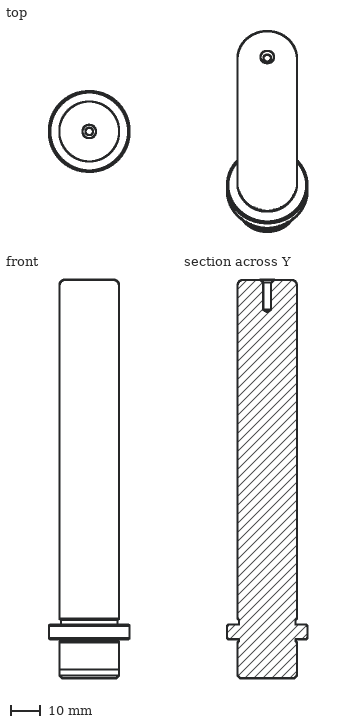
import cadquery as cq
import math

total_length = 133.0
spigot_length = 13.0
flange_thickness = 5.0

pin_diameter = 20.0
flange_diameter = 27.0
relief_diameter = 19.0
lead_diameter = 19.98

lead_length = 3.0
bottom_chamfer = 1.0

lower_relief_width = 1.0
upper_relief_width = 2.0

flange_chamfer = 0.5
tip_radius = 2.0

hole_mouth_diameter = 4.5
drill_diameter = 2.5
countersink_angle = 90.0
drill_depth = 10.0
drill_point_angle = 118.0

pin_radius = pin_diameter / 2
flange_radius = flange_diameter / 2
relief_radius = relief_diameter / 2
lead_radius = lead_diameter / 2

flange_bottom = spigot_length
flange_top = flange_bottom + flange_thickness
relief_depth = pin_radius - relief_radius


def cone_height(large_radius, small_radius, included_angle):
    """Axial height of a cone between two radii."""
    return (large_radius - small_radius) / math.tan(math.radians(included_angle / 2))


def make_body():
    """Revolve the half section of the flanged pin about Z."""
    lower_relief_start = flange_bottom - lower_relief_width
    upper_relief_end = flange_top + upper_relief_width
    arc_middle_offset = tip_radius * math.sin(math.radians(45))
    tip_arc_middle = (
        pin_radius - tip_radius + arc_middle_offset,
        total_length - tip_radius + arc_middle_offset,
    )
    return (
        cq.Workplane("XZ")
        .moveTo(0, 0)
        .lineTo(lead_radius - bottom_chamfer, 0)
        .lineTo(lead_radius, bottom_chamfer)
        .lineTo(lead_radius, lead_length)
        .lineTo(pin_radius, lead_length)
        .lineTo(pin_radius, lower_relief_start)
        .lineTo(relief_radius, lower_relief_start + relief_depth)
        .lineTo(relief_radius, flange_bottom)
        .lineTo(flange_radius - flange_chamfer, flange_bottom)
        .lineTo(flange_radius, flange_bottom + flange_chamfer)
        .lineTo(flange_radius, flange_top - flange_chamfer)
        .lineTo(flange_radius - flange_chamfer, flange_top)
        .lineTo(relief_radius, flange_top)
        .lineTo(relief_radius, upper_relief_end - relief_depth)
        .lineTo(pin_radius, upper_relief_end)
        .lineTo(pin_radius, total_length - tip_radius)
        .threePointArc(tip_arc_middle, (pin_radius - tip_radius, total_length))
        .lineTo(0, total_length)
        .close()
        .revolve(360, (0, 0, 0), (0, 1, 0))
    )


def make_tip_hole():
    """Countersunk blind hole: conical mouth, straight bore and conical bottom."""
    mouth_radius = hole_mouth_diameter / 2
    drill_radius = drill_diameter / 2
    cone_bottom = total_length - cone_height(mouth_radius, drill_radius, countersink_angle)
    bore_bottom = total_length - drill_depth
    point_bottom = bore_bottom - cone_height(drill_radius, 0, drill_point_angle)
    return (
        cq.Workplane("XZ")
        .moveTo(0, total_length)
        .lineTo(mouth_radius, total_length)
        .lineTo(drill_radius, cone_bottom)
        .lineTo(drill_radius, bore_bottom)
        .lineTo(0, point_bottom)
        .close()
        .revolve(360, (0, 0, 0), (0, 1, 0))
    )


result = make_body().cut(make_tip_hole())